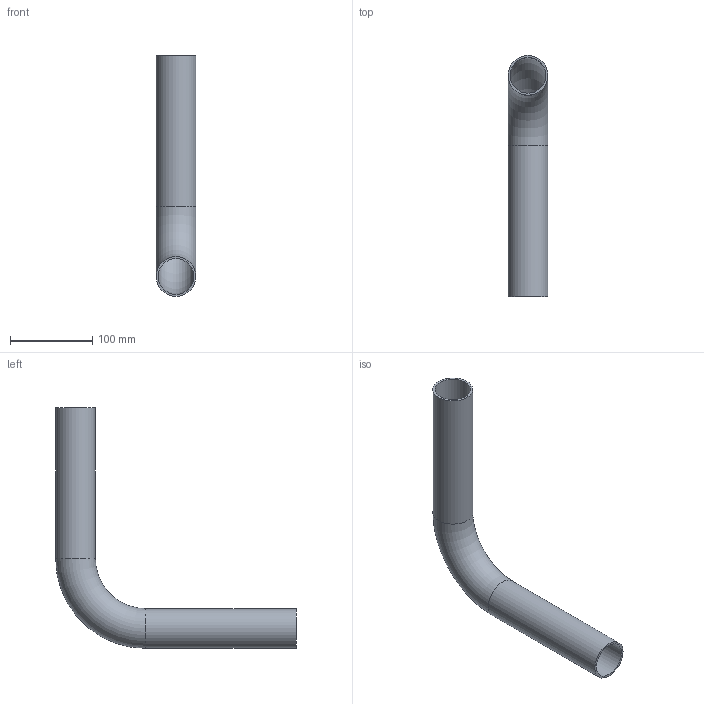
import math

import cadquery as cq

outer_diameter = 48.3
inner_diameter = 43.3
centreline_length = 500.0
bend_radius = 85.0
bend_angle = 90.0

bend_length = bend_radius * math.radians(bend_angle)
straight_length = (centreline_length - bend_length) / 2


def bent_rod(diameter):
    """Solid rod: a horizontal leg along -Y, a bend, and a vertical leg along +Z."""
    radius = diameter / 2
    horizontal_leg = cq.Workplane("XZ").circle(radius).extrude(straight_length)
    bend = cq.Workplane("XZ").circle(radius).revolve(bend_angle, (0, bend_radius), (1, bend_radius))
    vertical_leg = (
        cq.Workplane("XY", origin=(0, bend_radius, bend_radius))
        .circle(radius)
        .extrude(straight_length)
    )
    return horizontal_leg.union(bend).union(vertical_leg)


result = bent_rod(outer_diameter).cut(bent_rod(inner_diameter))